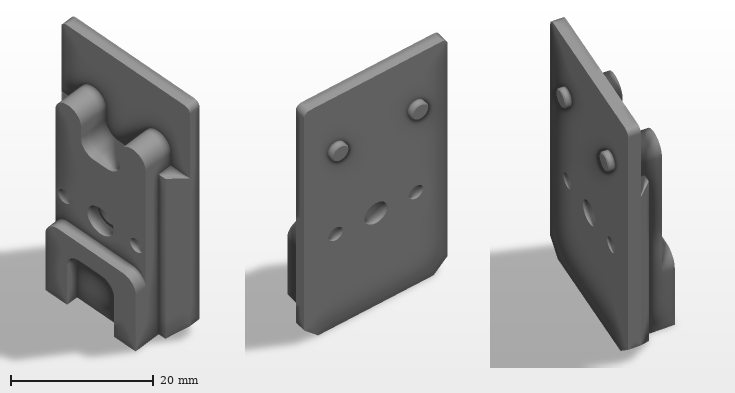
import cadquery as cq

pin_length = 1.1
plate_thickness = 2.0
body_thickness = 5.1
lip_thickness = 2.02

plate_width = 25.0
plate_height = 46
plate_top_radius = 1.0
bevel = 2.45

rail_height = 32.05
body_width = 17.53
body_height = 37.25
notch_width = 7.6
notch_floor = 29.85
notch_radius = 2.55
lip_height = 14.0
lip_radius = 2.55
recess_width = 9.1
recess_height = 10.5
recess_radius = 2.5

hole_level = 18.5
bore_diameter = 4.0
counterbore_diameter = 5.1
counterbore_depth = 2.0
side_hole_diameter = 2.5
side_hole_spacing = 14.0
pin_diameter = 3.0
pin_spacing = 13.9
pin_level = 35.5
pin_chamfer = 0.2

body_front = -body_thickness
lip_front = body_front - lip_thickness


def block(width, bottom, top, front, back):
    """Box centred on X = 0 between the given Z and Y limits."""
    return (
        cq.Workplane("XY")
        .box(width, back - front, top - bottom, centered=(True, False, False))
        .translate((0, front, bottom))
    )


def cylinder(diameter, x, z, front, back):
    """Round bar along Y."""
    return (
        cq.Workplane("XZ", origin=(x, front, z))
        .circle(diameter / 2)
        .extrude(front - back)
    )


def make_plate_and_rails():
    """Plate with rounded top corners and bevelled rails along its lower sides."""
    plate = block(plate_width, 0, plate_height, 0, plate_thickness)
    plate = plate.edges("|Y and >Z").fillet(plate_top_radius)
    half_width = plate_width / 2
    rails = (
        cq.Workplane("XY")
        .polyline([
            (-half_width, 0),
            (half_width, 0),
            (half_width - bevel, -bevel),
            (-half_width + bevel, -bevel),
        ])
        .close()
        .extrude(rail_height)
    )
    base = plate.union(rails)
    for side in (-1, 1):
        corner = (
            cq.Workplane("XZ", origin=(0, -bevel, 0))
            .polyline([
                (side * half_width, 0),
                (side * (half_width - bevel), 0),
                (side * half_width, bevel),
            ])
            .close()
            .extrude(-(bevel + plate_thickness))
        )
        base = base.cut(corner)
    return base


def make_body():
    """Body whose top carries two round-ended lobes on either side of the notch."""
    lobe_width = (body_width - notch_width) / 2
    lobe_radius = lobe_width / 2
    lobe_spacing = body_width - lobe_width
    shoulder = body_height - lobe_radius
    body = block(body_width, 0, shoulder, body_front, 0)
    for x in (-lobe_spacing / 2, lobe_spacing / 2):
        body = body.union(cylinder(lobe_width, x, shoulder, body_front, 0))
    return body


def make_notch():
    """Rounded notch between the lobes, reaching back to the plate."""
    notch = block(notch_width, notch_floor, body_height, body_front, 0)
    notch = notch.edges("|Y and <Z").fillet(notch_radius)
    return notch


def make_lip():
    """Raised pad at the lower front with a recess open at the bottom."""
    lip = block(body_width, 0, lip_height, lip_front, body_front)
    lip = lip.edges("|Y and >Z").fillet(lip_radius)
    recess = block(recess_width, 0, recess_height, lip_front, body_front)
    recess = recess.edges("|Y and >Z").fillet(recess_radius)
    return lip.cut(recess)


def make_holes():
    """Counterbored centre hole and two plain side holes, all through."""
    holes = cylinder(bore_diameter, 0, hole_level, body_front, plate_thickness)
    counterbore_floor = body_front + counterbore_depth
    holes = holes.union(cylinder(counterbore_diameter, 0, hole_level, body_front, counterbore_floor))
    for x in (-side_hole_spacing / 2, side_hole_spacing / 2):
        holes = holes.union(cylinder(side_hole_diameter, x, hole_level, body_front, plate_thickness))
    return holes


def make_pin(x):
    """Locating pin on the back of the plate, rooted inside the plate."""
    pin = cylinder(pin_diameter, x, pin_level, 0, plate_thickness + pin_length)
    return pin.faces(">Y").chamfer(pin_chamfer)


result = make_plate_and_rails().union(make_body()).union(make_lip())
result = result.cut(make_notch()).cut(make_holes())
for pin_x in (-pin_spacing / 2, pin_spacing / 2):
    result = result.union(make_pin(pin_x))